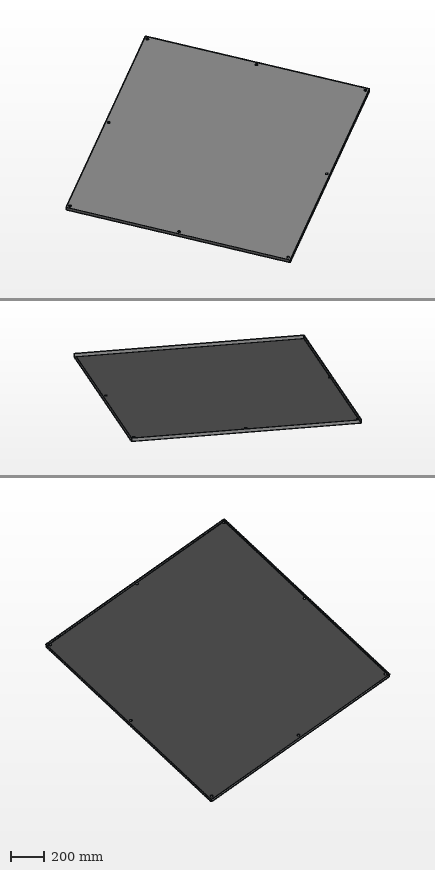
import cadquery as cq

width = 1422.0
length = 1524.0
height = 23.0
sheet_thickness = 2.0

relief_size = 3.0
relief_height = height - sheet_thickness

hole_diameter = 14.3
edge_distance = 20.0


def block(block_width, block_length, block_height):
    """Block centred on the Z axis and standing on Z = 0."""
    return cq.Workplane("XY").box(block_width, block_length, block_height, centered=(True, True, False))


def tray():
    outside = block(width, length, height)
    inside = block(width - 2 * sheet_thickness, length - 2 * sheet_thickness, height - sheet_thickness)
    return outside.cut(inside)


def corner_reliefs():
    return (
        cq.Workplane("XY")
        .rect(width, length, forConstruction=True)
        .vertices()
        .rect(2 * relief_size, 2 * relief_size)
        .extrude(relief_height)
    )


def mounting_holes():
    hole_x = width / 2 - edge_distance
    hole_y = length / 2 - edge_distance
    centers = [
        (column * hole_x, row * hole_y)
        for column in (-1, 0, 1)
        for row in (-1, 0, 1)
        if (column, row) != (0, 0)
    ]
    return cq.Workplane("XY").pushPoints(centers).circle(hole_diameter / 2).extrude(height)


folded_tray = tray().cut(corner_reliefs()).cut(mounting_holes())

result = folded_tray.translate((0, 0, -height / 2))